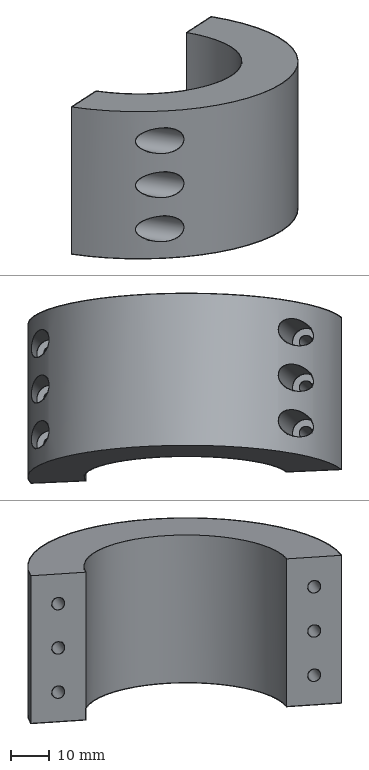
import cadquery as cq
import math

outer_radius = 41.0
inner_radius = 26.5
height = 40.0
split_offset = 0.65

screw_diameter = 3.4
head_diameter = 7.0
screw_y = (outer_radius + inner_radius) / 2
screw_pitch = 12.0
screws_per_row = 3
seat_thickness = 10.0


def arc_end(radius):
    """Distance from the XZ plane at which an arc meets the split face."""
    return math.sqrt(radius**2 - split_offset**2)


def half_ring():
    outer_end = arc_end(outer_radius)
    inner_end = arc_end(inner_radius)
    return (
        cq.Workplane("XY")
        .moveTo(split_offset, -outer_end)
        .threePointArc((outer_radius, 0), (split_offset, outer_end))
        .lineTo(split_offset, inner_end)
        .threePointArc((inner_radius, 0), (split_offset, -inner_end))
        .close()
        .extrude(height / 2, both=True)
    )


def screw_cylinders(diameter, start_x):
    """Cylinders along +X at every screw position, reaching past the outer wall."""
    return (
        cq.Workplane("YZ", origin=(start_x, 0, 0))
        .rarray(2 * screw_y, screw_pitch, 2, screws_per_row)
        .circle(diameter / 2)
        .extrude(outer_radius)
    )


through_holes = screw_cylinders(screw_diameter, 0)
head_pockets = screw_cylinders(head_diameter, split_offset + seat_thickness)

result = half_ring().cut(through_holes).cut(head_pockets)